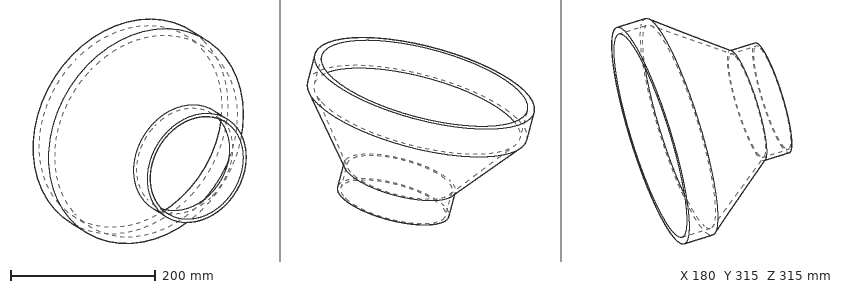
import cadquery as cq

total_length = 180.0
collar_length = 42.2
spigot_length = 37.2

collar_outer_radius = 315 / 2
collar_inner_radius = 295.5 / 2
spigot_outer_radius = 160.0 / 2
spigot_inner_radius = 150.3 / 2

cone_start = collar_length
cone_end = total_length - spigot_length


def revolved_body(collar_radius, spigot_radius):
    """Solid of revolution about X: cylinder, cone, smaller cylinder."""
    return (
        cq.Workplane("XY")
        .polyline([
            (0, 0),
            (0, collar_radius),
            (cone_start, collar_radius),
            (cone_end, spigot_radius),
            (total_length, spigot_radius),
            (total_length, 0),
        ])
        .close()
        .revolve(360, (0, 0, 0), (1, 0, 0))
    )


outer_body = revolved_body(collar_outer_radius, spigot_outer_radius)
bore = revolved_body(collar_inner_radius, spigot_inner_radius)

result = outer_body.cut(bore)